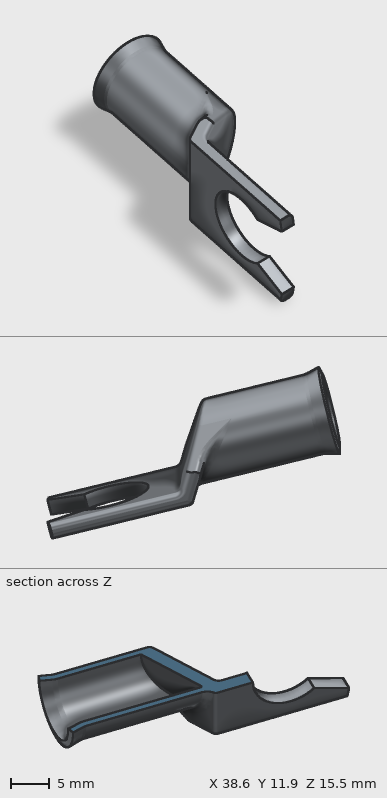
import cadquery as cq
import math

barrel_radius = 5.25
wall = 1.0
flare_angle = math.radians(15)
flare_radius = 5.75
flare_bend_radius = 1.8

total_length = 38.58
width = 15.5
plate_thickness = 2.0
tongue_front_y = -6.1
slope_angle = math.radians(30)
bend_front_x = 19.9
bend_outer_radius = 0.7
bend_inner_radius = 1.0
shoulder_tangent_y = 3.05

hole_x = 30.45
hole_radius = 5.25
mouth_angle = math.radians(20)
tip_half_opening = 5.9
tip_setback = 0.3

edge_round = 0.8
neck_fillet = 1.5

margin = 4.0

shoulder_seed_inset = 0.5

bore_radius = barrel_radius - wall
lip_x = wall * math.sin(flare_angle)
lip_inner_radius = flare_radius - wall * math.cos(flare_angle)
flare_end_x = lip_x + (flare_radius - barrel_radius) / math.tan(flare_angle)
bore_taper_end_x = (lip_inner_radius - bore_radius) / math.tan(flare_angle)

slope_normal = cq.Vector(math.cos(slope_angle), math.sin(slope_angle), 0)
half_width = width / 2
far_y = barrel_radius + margin
far_x = total_length + margin
tongue_back_y = tongue_front_y + plate_thickness
bend_back_x = bend_front_x + plate_thickness * math.tan(slope_angle)
tangent_z = math.sqrt(barrel_radius**2 - shoulder_tangent_y**2)
shoulder_drop = (half_width - tangent_z) * tangent_z / shoulder_tangent_y
shoulder_corner_y = shoulder_tangent_y - shoulder_drop


def nearest(x, y, z=0):
    """Selector for the edge whose centre is nearest to a point."""
    return cq.selectors.NearestToPointSelector((x, y, z))


def bent_block(bend_x, bend_y, end_x, bend_radius):
    """Space behind a sloped plane and a flat plane that meet in a rounded bend along Z."""
    slope_top_x = bend_x - (far_y - bend_y) * math.tan(slope_angle)
    return (
        cq.Workplane("XY")
        .moveTo(slope_top_x, far_y)
        .lineTo(bend_x, bend_y)
        .lineTo(end_x, bend_y)
        .lineTo(end_x, far_y)
        .close()
        .extrude(width, both=True)
        .edges(nearest(bend_x, bend_y))
        .fillet(bend_radius)
    )


def outline_body():
    """Barrel and shoulder outline run along X, trimmed and rounded on the back."""
    outline = (
        cq.Workplane("YZ")
        .moveTo(-far_y, -half_width)
        .lineTo(shoulder_corner_y, -half_width)
        .lineTo(shoulder_tangent_y, -tangent_z)
        .threePointArc((barrel_radius, 0), (shoulder_tangent_y, tangent_z))
        .lineTo(shoulder_corner_y, half_width)
        .lineTo(-far_y, half_width)
        .close()
        .extrude(total_length)
    )
    behind = bent_block(bend_back_x, tongue_back_y, far_x, bend_inner_radius)
    trimmed = outline.cut(behind)
    slope_face = trimmed.faces(cq.selectors.ParallelDirSelector(slope_normal))
    return slope_face.edges("not |Z").fillet(edge_round)


def front_body():
    """Everything behind the front of slope and tongue, with the barrel standing out of it."""
    barrel = cq.Workplane("YZ", origin=(flare_end_x, 0, 0)).circle(barrel_radius)
    barrel = barrel.extrude(bend_back_x - flare_end_x)
    block = bent_block(bend_front_x, tongue_front_y, total_length, bend_outer_radius)
    return block.union(barrel).edges("%ELLIPSE").fillet(neck_fillet)


def round_front_edges(body):
    """Round both slanted shoulder edges and the -Z edge on the front of shoulder and tongue."""
    shoulder_z = (tangent_z + half_width) / 2 + 1
    shoulder_y = shoulder_corner_y + (half_width - shoulder_z) * shoulder_tangent_y / tangent_z
    shoulder_x = bend_front_x - (shoulder_y - tongue_front_y) * math.tan(slope_angle)
    seed_z = half_width - shoulder_seed_inset
    seeds = [
        (shoulder_x, shoulder_y, seed_z),
        (shoulder_x, shoulder_y, -seed_z),
        ((bend_front_x + total_length) / 2, tongue_front_y, -half_width),
    ]
    edges = [body.edges(nearest(*seed)).val() for seed in seeds]
    return body.newObject(edges).fillet(edge_round)


def revolved(points):
    """Solid of revolution about the barrel axis."""
    return cq.Workplane("XY").polyline(points).close().revolve(360, (0, 0, 0), (1, 0, 0))


def flare():
    """Solid flared mouth that blends into the barrel."""
    end_x = 2 * flare_end_x
    profile = [
        (0, 0),
        (0, lip_inner_radius),
        (lip_x, flare_radius),
        (flare_end_x, barrel_radius),
        (end_x, barrel_radius),
        (end_x, 0),
    ]
    return revolved(profile).edges(nearest(flare_end_x, 0)).fillet(flare_bend_radius)


def bore():
    """Blind bore with a flared entry and a floor in the plane of the sloped front."""
    profile = [
        (0, 0),
        (0, lip_inner_radius),
        (bore_taper_end_x, bore_radius),
        (bend_back_x, bore_radius),
        (bend_back_x, 0),
    ]
    cavity = revolved(profile).edges(nearest(bore_taper_end_x, 0))
    cavity = cavity.fillet(flare_bend_radius + wall)
    return cavity.cut(bent_block(bend_front_x, tongue_front_y, far_x, bend_outer_radius))


def fork_opening():
    """Round hole with a mouth that widens to the tip, and the slanted tip ends."""
    root_half_opening = tip_half_opening - (total_length - hole_x) * math.tan(mouth_angle)
    hole = cq.Workplane("XZ").moveTo(hole_x, 0).circle(hole_radius).extrude(far_y, both=True)
    mouth = [
        (hole_x, -root_half_opening),
        (total_length, -tip_half_opening),
        (total_length - tip_setback, -half_width),
        (far_x, -half_width),
        (far_x, half_width),
        (total_length - tip_setback, half_width),
        (total_length, tip_half_opening),
        (hole_x, root_half_opening),
    ]
    return hole.union(cq.Workplane("XZ").polyline(mouth).close().extrude(far_y, both=True))


body = round_front_edges(outline_body().intersect(front_body()))
result = body.union(flare()).cut(bore()).cut(fork_opening())